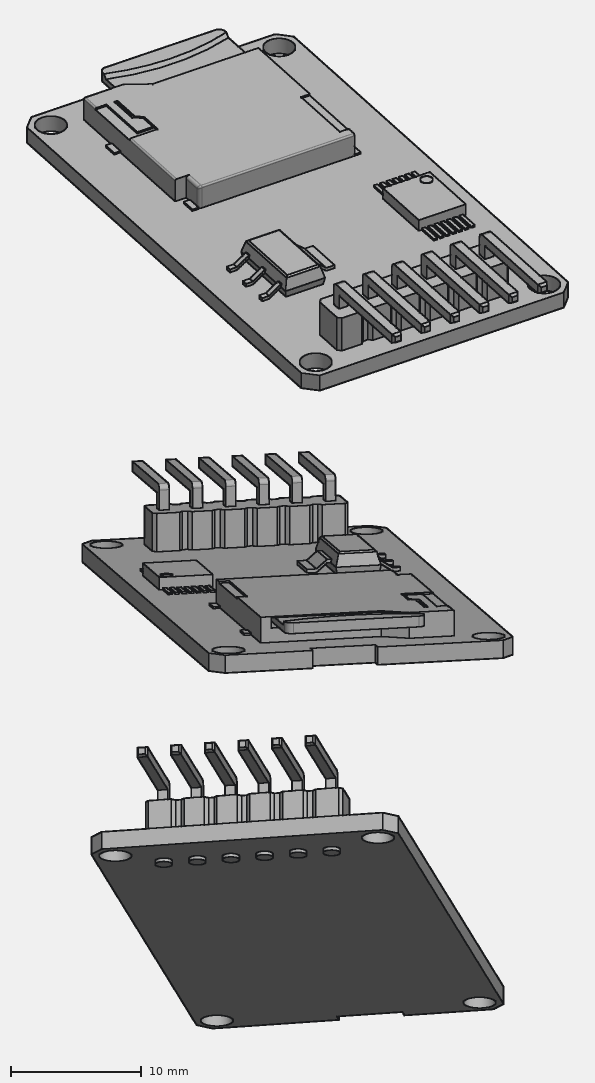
import cadquery as cq
import math


BOARD_LENGTH = 42.1
BOARD_WIDTH = 24.0
BOARD_TOP = 1.4
BOARD_CHAMFER = 1.05
HOLE_DIAMETER = 2.5
HOLE_INSET = 1.75
EDGE_NOTCH_DEPTH = 0.8
EDGE_NOTCH_Y = (-1.1, 4.05)

PIN_COUNT = 6
HEADER_X = (37.0, 40.1)
HEADER_CENTER_Y = -0.305
HEADER_WIDTH = 15.45
HEADER_HEIGHT = 3.0
HEADER_CHAMFER = 0.3
GROOVE_PITCH = HEADER_WIDTH / PIN_COUNT
GROOVE_MOUTH = 1.0
GROOVE_DEPTH = 0.3
PIN_PITCH = 2.63
PIN_SIZE = 0.8
PIN_X = 38.5
PIN_END_X = 46.9
PIN_TOP = 5.0
PIN_BEND_RADIUS = 0.4
PIN_TIP_LENGTH = 0.3
PIN_TIP_INSET = 0.15
SOLDER_DIAMETER = 1.3
SOLDER_HEIGHT = 0.3

CHIP_CENTER = (26.4, 8.1)
CHIP_LENGTH = 5.25
CHIP_WIDTH = 4.2
CHIP_HEIGHT = 1.0
CHIP_LEADS_PER_SIDE = 7
CHIP_LEAD_SPAN = 8.75
CHIP_LEAD_PITCH = 0.55
CHIP_LEAD_WIDTH = 0.35
CHIP_LEAD_HEIGHT = 0.15
CHIP_DOT_DIAMETER = 1.0
CHIP_DOT_INSET = 0.75
CHIP_DOT_DEPTH = 0.05

REGULATOR_CENTER = (28.45, -5.85)
REGULATOR_LENGTH = 6.45
REGULATOR_WIDTH = 3.55
REGULATOR_BOTTOM = 0.1
REGULATOR_PARTING = 0.7
REGULATOR_SHOULDER = 1.7
REGULATOR_TOP = 1.85
REGULATOR_LOWER_DRAFT = 10
REGULATOR_UPPER_DRAFT = 15
REGULATOR_BEVEL_DRAFT = 45
REGULATOR_LEAD_COUNT = 3
REGULATOR_LEAD_PITCH = 2.35
REGULATOR_LEAD_WIDTH = 0.45
REGULATOR_TAB_WIDTH = 3.15
LEAD_SHOULDER = 1.0
LEAD_THICKNESS = 0.3
LEAD_ROOT_DEPTH = 0.45
LEAD_REACH = (0, 1.1, 1.7)
TAB_REACH = (0.3, 1.13, 1.88)

SOCKET_FRONT_X = 2.45
SOCKET_RECESSED_X = 3.55
SOCKET_BACK_X = 17.6
SOCKET_Y = (-7.75, 7.25)
SOCKET_HEIGHT = 2.0
SOCKET_SLANT_Y = (-4.17, -2.25)
SOCKET_CORNER = (15.75, -6.75)
SOCKET_CORNER_RADIUS = 0.3
SOCKET_EDGE_RADIUS = 0.15
LID_THICKNESS = 0.1
LID_POCKET_DEPTH = 0.15
CAVITY_BACK_X = 15.8
CAVITY_Y = (-5.0, 6.43)
CAVITY_FLOOR = 1.13
SIDE_POCKET_X = (11.05, 16.75)
SIDE_POCKET_INNER_Y = 6.45
FINGER_ROOT_X = 4.15
FINGER_BEND_X = (6.75, 7.18)
FINGER_TIP_X = 8.65
FINGER_Y = (-6.75, -6.05)
FINGER_TIP_Y = -5.35
FINGER_SIDE_GAP = 0.3
FINGER_TIP_SIDE_GAP = 0.15
FINGER_END_GAP = 0.45
FINGER_BEND_GAP = 0.1
FOOT_HEIGHT = 0.15
FOOT_LENGTH = 1.25
FOOT_WIDTH = 0.55
FRONT_FOOT_X = 6.5

CARD_LENGTH = 15.0
CARD_Y = (-4.9, 6.15)
CARD_BOTTOM = 1.4
CARD_TOP = SOCKET_HEIGHT - LID_THICKNESS
CARD_NECK_Y = -3.42
CARD_NECK_X = (8.65, 9.75)
CARD_NOTCH_MOUTH_X = (5.0, 6.65)
CARD_NOTCH_FLOOR_X = 5.7
CARD_NOTCH_FLOOR_Y = -3.85
CARD_CORNER_CHAMFER = 0.5
CARD_CORNER_RADIUS = 0.55
LIP_TOP = 2.25
LIP_CENTER_X = 1.6
LIP_ARC_RADIUS = 17.9
LIP_SLOPE_RUN = 0.3


def block(x_range, y_range, z_range):
    """Rectangular block between the given limits."""
    return (
        cq.Workplane("XY")
        .box(x_range[1] - x_range[0], y_range[1] - y_range[0], z_range[1] - z_range[0], centered=False)
        .translate((x_range[0], y_range[0], z_range[0]))
    )


def prism(points, bottom, top):
    """Upright prism over a closed polygon."""
    return cq.Workplane("XY").workplane(offset=bottom).polyline(points).close().extrude(top - bottom)


def centered_row(count, pitch, center):
    """Evenly spaced positions about a centre."""
    return [center + (i - (count - 1) / 2) * pitch for i in range(count)]


def bare_board():
    """Plate with chamfered corners, four mounting holes and a notch in the card edge."""
    plate = (
        block((0, BOARD_LENGTH), (-BOARD_WIDTH / 2, BOARD_WIDTH / 2), (0, BOARD_TOP))
        .edges("|Z")
        .chamfer(BOARD_CHAMFER)
    )
    holes = (
        cq.Workplane("XY")
        .center(BOARD_LENGTH / 2, 0)
        .rect(BOARD_LENGTH - 2 * HOLE_INSET, BOARD_WIDTH - 2 * HOLE_INSET, forConstruction=True)
        .vertices()
        .circle(HOLE_DIAMETER / 2)
        .extrude(BOARD_TOP)
    )
    return plate.cut(holes).cut(block((0, EDGE_NOTCH_DEPTH), EDGE_NOTCH_Y, (0, BOARD_TOP)))


def header_housing():
    """Plastic strip with chamfered corners and a V-sided groove between neighbouring pins."""
    half_width = HEADER_WIDTH / 2
    top = BOARD_TOP + HEADER_HEIGHT
    strip = (
        block(HEADER_X, (HEADER_CENTER_Y - half_width, HEADER_CENTER_Y + half_width), (BOARD_TOP, top))
        .edges("|Z")
        .chamfer(HEADER_CHAMFER)
    )
    half_mouth = GROOVE_MOUTH / 2
    half_floor = half_mouth - GROOVE_DEPTH
    for y in centered_row(PIN_COUNT - 1, GROOVE_PITCH, HEADER_CENTER_Y):
        for face_x, inward in ((HEADER_X[0], 1), (HEADER_X[1], -1)):
            floor_x = face_x + inward * GROOVE_DEPTH
            groove = [
                (face_x, y - half_mouth),
                (floor_x, y - half_floor),
                (floor_x, y + half_floor),
                (face_x, y + half_mouth),
            ]
            strip = strip.cut(prism(groove, BOARD_TOP, top))
    return strip


def header_pin(y):
    """Right-angle square pin with a tapered tip, and its round solder joint under the board."""
    half = PIN_SIZE / 2
    top = BOARD_TOP + PIN_TOP
    pin_y = (y - half, y + half)
    upright = block((PIN_X - half, PIN_X + half), pin_y, (BOARD_TOP, top))
    arm = block((PIN_X - half, PIN_END_X - PIN_TIP_LENGTH), pin_y, (top - PIN_SIZE, top))
    bent = upright.union(arm).edges("|Y and <X and >Z").fillet(PIN_BEND_RADIUS)
    tip = (
        cq.Workplane("YZ", origin=(PIN_END_X - PIN_TIP_LENGTH, y, top - half))
        .rect(PIN_SIZE, PIN_SIZE)
        .workplane(offset=PIN_TIP_LENGTH)
        .rect(PIN_SIZE - 2 * PIN_TIP_INSET, PIN_SIZE - 2 * PIN_TIP_INSET)
        .loft(ruled=True)
    )
    solder = cq.Workplane("XY", origin=(PIN_X, y, 0)).circle(SOLDER_DIAMETER / 2).extrude(-SOLDER_HEIGHT)
    return bent.union(tip), solder


def chip():
    """Flat chip with a row of flat leads on both ends and a round pin-one dimple."""
    x, y = CHIP_CENTER
    half_length = CHIP_LENGTH / 2
    half_width = CHIP_WIDTH / 2
    top = BOARD_TOP + CHIP_HEIGHT
    body = block((x - half_length, x + half_length), (y - half_width, y + half_width), (BOARD_TOP, top))
    dot_x = x - half_length + CHIP_DOT_INSET
    dot_y = y + half_width - CHIP_DOT_INSET
    dot = cq.Workplane("XY", origin=(dot_x, dot_y, top)).circle(CHIP_DOT_DIAMETER / 2)
    body = body.cut(dot.extrude(-CHIP_DOT_DEPTH))
    lead_x = (x - CHIP_LEAD_SPAN / 2, x + CHIP_LEAD_SPAN / 2)
    for lead_y in centered_row(CHIP_LEADS_PER_SIDE, CHIP_LEAD_PITCH, y):
        lead_sides = (lead_y - CHIP_LEAD_WIDTH / 2, lead_y + CHIP_LEAD_WIDTH / 2)
        body = body.union(block(lead_x, lead_sides, (BOARD_TOP, BOARD_TOP + CHIP_LEAD_HEIGHT)))
    return body


def bent_lead(center_x, width, side_y, outward, reach):
    """Lead that leaves the regulator level, slopes down and ends in a flat foot on the board."""
    root_y = side_y - outward * LEAD_ROOT_DEPTH
    shoulder_y, heel_y, toe_y = [side_y + outward * distance for distance in reach]
    high = BOARD_TOP + LEAD_SHOULDER
    low = BOARD_TOP + LEAD_THICKNESS
    profile = [
        (root_y, high),
        (shoulder_y, high),
        (heel_y, low),
        (toe_y, low),
        (toe_y, BOARD_TOP),
        (heel_y, BOARD_TOP),
        (shoulder_y, high - LEAD_THICKNESS),
        (root_y, high - LEAD_THICKNESS),
    ]
    return cq.Workplane("YZ", origin=(center_x - width / 2, 0, 0)).polyline(profile).close().extrude(width)


def regulator():
    """Package drafted both ways from its parting line, a bevelled top, three leads and a wide tab."""
    x, y = REGULATOR_CENTER

    def drafted(start, end, inset, draft):
        """Package stage from one height to another, its start outline inset and its sides drafted."""
        return (
            cq.Workplane("XY", origin=(x, y, BOARD_TOP + start))
            .rect(REGULATOR_LENGTH - 2 * inset, REGULATOR_WIDTH - 2 * inset)
            .extrude(end - start, taper=draft)
        )

    shoulder_rise = REGULATOR_SHOULDER - REGULATOR_PARTING
    shoulder_inset = shoulder_rise * math.tan(math.radians(REGULATOR_UPPER_DRAFT))
    body = drafted(REGULATOR_PARTING, REGULATOR_BOTTOM, 0, REGULATOR_LOWER_DRAFT)
    body = body.union(drafted(REGULATOR_PARTING, REGULATOR_SHOULDER, 0, REGULATOR_UPPER_DRAFT))
    body = body.union(drafted(REGULATOR_SHOULDER, REGULATOR_TOP, shoulder_inset, REGULATOR_BEVEL_DRAFT))

    front_y = y - REGULATOR_WIDTH / 2
    back_y = y + REGULATOR_WIDTH / 2
    for lead_x in centered_row(REGULATOR_LEAD_COUNT, REGULATOR_LEAD_PITCH, x):
        body = body.union(bent_lead(lead_x, REGULATOR_LEAD_WIDTH, front_y, -1, LEAD_REACH))
    tab = bent_lead(x, REGULATOR_TAB_WIDTH, back_y, 1, TAB_REACH)
    return body.union(tab)


def populated_board():
    """Board with its soldered parts as one solid."""
    board = bare_board().union(header_housing()).union(chip()).union(regulator())
    for y in centered_row(PIN_COUNT, PIN_PITCH, HEADER_CENTER_Y):
        pin, solder = header_pin(y)
        board = board.union(pin).union(solder)
    return board


def lid_pockets(top):
    """Shallow pockets in the socket's top: one on the +Y side, one around a spring finger."""
    floor = top - LID_POCKET_DEPTH
    side_pocket = block(SIDE_POCKET_X, (SIDE_POCKET_INNER_Y, SOCKET_Y[1]), (floor, top))
    pocket_side_y = FINGER_Y[1] + FINGER_SIDE_GAP
    pocket_tip_y = FINGER_TIP_Y + FINGER_TIP_SIDE_GAP
    pocket_end_x = FINGER_TIP_X + FINGER_END_GAP
    finger_pocket = prism(
        [
            (FINGER_ROOT_X, SOCKET_Y[0]),
            (FINGER_ROOT_X, pocket_side_y),
            (FINGER_BEND_X[0] - FINGER_BEND_GAP, pocket_side_y),
            (FINGER_BEND_X[1] - FINGER_BEND_GAP, pocket_tip_y),
            (pocket_end_x, pocket_tip_y),
            (pocket_end_x, SOCKET_Y[0]),
        ],
        floor,
        top,
    )
    finger = prism(
        [
            (FINGER_ROOT_X, FINGER_Y[0]),
            (FINGER_ROOT_X, FINGER_Y[1]),
            (FINGER_BEND_X[0], FINGER_Y[1]),
            (FINGER_BEND_X[1], FINGER_TIP_Y),
            (FINGER_TIP_X, FINGER_TIP_Y),
            (FINGER_TIP_X, FINGER_Y[0]),
        ],
        floor,
        top,
    )
    return side_pocket.union(finger_pocket.cut(finger))


def card_socket():
    """Low box with a card slot open to -X, a cut-away corner, lid pockets and four solder feet."""
    top = BOARD_TOP + SOCKET_HEIGHT
    shell = prism(
        [
            (SOCKET_FRONT_X, SOCKET_Y[0]),
            (SOCKET_FRONT_X, SOCKET_SLANT_Y[0]),
            (SOCKET_RECESSED_X, SOCKET_SLANT_Y[1]),
            (SOCKET_RECESSED_X, SOCKET_Y[1]),
            (SOCKET_BACK_X, SOCKET_Y[1]),
            (SOCKET_BACK_X, SOCKET_CORNER[1]),
            SOCKET_CORNER,
            (SOCKET_CORNER[0], SOCKET_Y[0]),
        ],
        BOARD_TOP,
        top,
    )
    shell = shell.faces(">X").edges(">Z").fillet(SOCKET_EDGE_RADIUS)
    shell = shell.faces("<Y").edges(">Z").fillet(SOCKET_EDGE_RADIUS)
    corner_point = ((SOCKET_CORNER[0] + SOCKET_BACK_X) / 2, SOCKET_CORNER[1], top)
    shell = shell.edges(cq.selectors.NearestToPointSelector(corner_point)).fillet(SOCKET_CORNER_RADIUS)
    cavity = block(
        (SOCKET_FRONT_X, CAVITY_BACK_X), CAVITY_Y, (BOARD_TOP + CAVITY_FLOOR, BOARD_TOP + CARD_TOP)
    )
    shell = shell.cut(cavity).cut(lid_pockets(top))

    front_foot_x = (FRONT_FOOT_X, FRONT_FOOT_X + FOOT_LENGTH)
    back_foot_x = (SOCKET_BACK_X - FOOT_LENGTH, SOCKET_BACK_X)
    feet = (
        (front_foot_x, SOCKET_Y[0] - FOOT_WIDTH),
        (back_foot_x, SOCKET_CORNER[1] - FOOT_WIDTH),
        (front_foot_x, SOCKET_Y[1]),
        (back_foot_x, SOCKET_Y[1]),
    )
    for foot_x, foot_y in feet:
        foot = block(foot_x, (foot_y, foot_y + FOOT_WIDTH), (BOARD_TOP, BOARD_TOP + FOOT_HEIGHT))
        shell = shell.union(foot)
    return shell


def memory_card():
    """Stepped card with a side notch and a raised thumb grip along its outer end."""
    bottom = BOARD_TOP + CARD_BOTTOM
    top = BOARD_TOP + CARD_TOP
    lip_top = BOARD_TOP + LIP_TOP
    outline = [
        (0, CARD_Y[0]),
        (CARD_NOTCH_MOUTH_X[0], CARD_Y[0]),
        (CARD_NOTCH_FLOOR_X, CARD_NOTCH_FLOOR_Y),
        (CARD_NOTCH_MOUTH_X[1], CARD_NOTCH_FLOOR_Y),
        (CARD_NOTCH_MOUTH_X[1], CARD_Y[0]),
        (CARD_NECK_X[0], CARD_Y[0]),
        (CARD_NECK_X[1], CARD_NECK_Y),
        (CARD_LENGTH - CARD_CORNER_CHAMFER, CARD_NECK_Y),
        (CARD_LENGTH, CARD_NECK_Y + CARD_CORNER_CHAMFER),
        (CARD_LENGTH, CARD_Y[1]),
        (0, CARD_Y[1]),
    ]
    blank = prism(outline, bottom, lip_top).edges("|Z and <X").fillet(CARD_CORNER_RADIUS)

    slope_angle = math.degrees(math.atan2(LIP_SLOPE_RUN, lip_top - top))
    axis_x = LIP_CENTER_X - LIP_ARC_RADIUS
    grip = (
        cq.Workplane("XY", origin=(axis_x, (CARD_Y[0] + CARD_Y[1]) / 2, top))
        .circle(LIP_ARC_RADIUS + LIP_SLOPE_RUN)
        .extrude(lip_top - top, taper=slope_angle)
    )
    lowered = block((0, CARD_LENGTH), CARD_Y, (top, lip_top)).cut(grip)
    return blank.cut(lowered)


populated = populated_board()
socket = card_socket()
card = memory_card()
result = cq.Compound.makeCompound([populated.val(), socket.val(), card.val()])